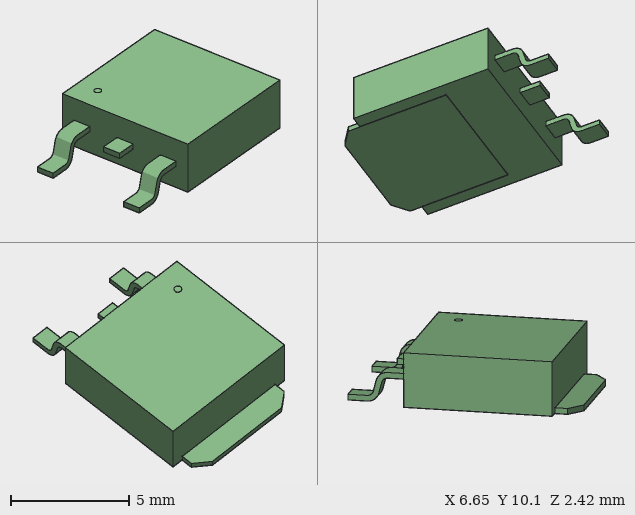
import cadquery as cq
import math


overall_height = 2.42
tab_standoff = 0.03
body_width = 6.65
body_length = 6.43
body_height = overall_height - tab_standoff

tab_width = 5.54
tab_thickness = 0.26
tab_overhang = 1.09
tab_length = 5.23
tab_corner_x = 0.71
tab_corner_y = 0.55
tab_rear = body_length + tab_overhang
tab_front = tab_rear - tab_length

lead_pitch = 4.57
lead_width = 0.83
lead_thickness = 0.254
lead_reach = 2.56
lead_straight = 0.845
lead_drop = 1.055
bend_angle = math.radians(75)
bend_inner_radius = 0.254
bend_outer_radius = bend_inner_radius + lead_thickness
foot_bottom = tab_standoff
flat_bottom = foot_bottom + lead_drop
centre_lead_width = 0.86
centre_lead_length = 0.94

marker_diameter = 0.33
marker_depth = 0.05
marker_x = -lead_pitch / 2
marker_y = 1.1


def make_tab():
    """Flat plate with its two rear corners cut off."""
    half_width = tab_width / 2
    return (
        cq.Workplane("XY")
        .moveTo(-half_width, tab_front)
        .lineTo(half_width, tab_front)
        .lineTo(half_width, tab_rear - tab_corner_y)
        .lineTo(half_width - tab_corner_x, tab_rear)
        .lineTo(-half_width + tab_corner_x, tab_rear)
        .lineTo(-half_width, tab_rear - tab_corner_y)
        .close()
        .extrude(tab_thickness)
    )


def make_marker():
    """Thin disc set flush into the top of the body."""
    return (
        cq.Workplane("XY", origin=(marker_x, marker_y, overall_height - marker_depth))
        .circle(marker_diameter / 2)
        .extrude(marker_depth)
    )


def make_body(tab, marker):
    """Block with recesses that hold the tab and the marker."""
    block = (
        cq.Workplane("XY", origin=(0, body_length / 2, tab_standoff))
        .rect(body_width, body_length)
        .extrude(body_height)
    )
    return block.cut(tab).cut(marker)


def arc_point(centre, radius, angle):
    """Point on a bend, with the angle measured from +Y towards +Z."""
    return (centre[0] + radius * math.cos(angle), centre[1] + radius * math.sin(angle))


def make_formed_lead(centre_x):
    """Gull-wing lead: flat, bend down, sloping leg, bend out, foot."""
    bend_radii = bend_inner_radius + bend_outer_radius
    leg_length = (lead_drop - bend_radii * (1 - math.cos(bend_angle))) / math.sin(bend_angle)
    bend_span = bend_radii * math.sin(bend_angle) + leg_length * math.cos(bend_angle)
    bend_start = -lead_straight
    bend_end = bend_start - bend_span

    upper_centre = (bend_start, flat_bottom - bend_inner_radius)
    lower_centre = (bend_end, foot_bottom + bend_outer_radius)
    upper_middle = math.pi / 2 + bend_angle / 2
    upper_end = math.pi / 2 + bend_angle
    lower_start = upper_end - math.pi
    lower_middle = upper_middle - math.pi

    return (
        cq.Workplane("YZ", origin=(centre_x - lead_width / 2, 0, 0))
        .moveTo(0, flat_bottom + lead_thickness)
        .lineTo(bend_start, flat_bottom + lead_thickness)
        .threePointArc(
            arc_point(upper_centre, bend_outer_radius, upper_middle),
            arc_point(upper_centre, bend_outer_radius, upper_end),
        )
        .lineTo(*arc_point(lower_centre, bend_inner_radius, lower_start))
        .threePointArc(
            arc_point(lower_centre, bend_inner_radius, lower_middle),
            (bend_end, foot_bottom + lead_thickness),
        )
        .lineTo(-lead_reach, foot_bottom + lead_thickness)
        .lineTo(-lead_reach, foot_bottom)
        .lineTo(bend_end, foot_bottom)
        .threePointArc(
            arc_point(lower_centre, bend_outer_radius, lower_middle),
            arc_point(lower_centre, bend_outer_radius, lower_start),
        )
        .lineTo(*arc_point(upper_centre, bend_inner_radius, upper_end))
        .threePointArc(
            arc_point(upper_centre, bend_inner_radius, upper_middle),
            (bend_start, flat_bottom),
        )
        .lineTo(0, flat_bottom)
        .close()
        .extrude(lead_width)
    )


def make_centre_lead():
    """Straight lead cropped close to the body."""
    return (
        cq.Workplane("XY", origin=(0, -centre_lead_length / 2, flat_bottom))
        .rect(centre_lead_width, centre_lead_length)
        .extrude(lead_thickness)
    )


tab = make_tab()
marker = make_marker()
body = make_body(tab, marker)
centre_lead = make_centre_lead()
formed_leads = [make_formed_lead(side * lead_pitch / 2) for side in (-1, 1)]

result = cq.Compound.makeCompound(
    [
        body.val(),
        tab.val(),
        marker.val(),
        centre_lead.val(),
        *[lead.val() for lead in formed_leads],
    ]
)